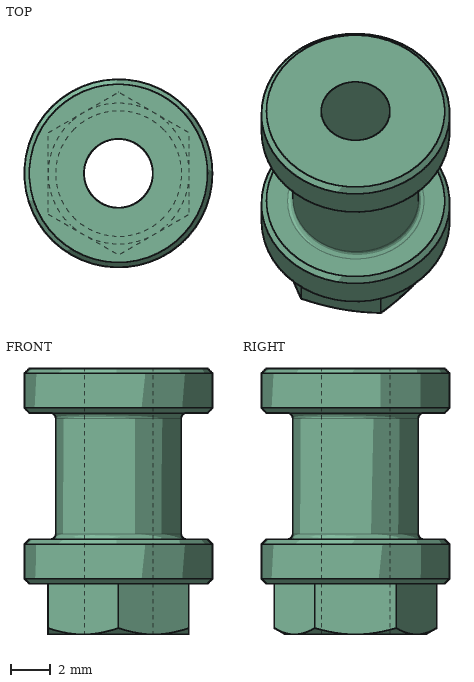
import cadquery as cq
import math

total_height = 13.46
flange_diameter = 9.53
flange_thickness = 2.26
flange_chamfer = 0.25
shaft_diameter = 6.37
shaft_fillet = 0.27
bore_diameter = 3.47
hex_across_flats = 7.13
hex_height = 2.56
hex_chamfer_angle = 30.0

hex_across_corners = hex_across_flats / math.cos(math.radians(30))
shaft_bottom = hex_height + flange_thickness
shaft_top = total_height - flange_thickness
shaft_length = shaft_top - shaft_bottom


def flange(bottom):
    """Disc with both rims chamfered."""
    disc = cq.Workplane("XY").workplane(offset=bottom).circle(flange_diameter / 2).extrude(flange_thickness)
    return disc.edges("%CIRCLE").chamfer(flange_chamfer)


def spool():
    """Two flanges joined by a shaft with filleted roots."""
    shaft = cq.Workplane("XY").workplane(offset=shaft_bottom).circle(shaft_diameter / 2).extrude(shaft_length)
    body = flange(hex_height).union(shaft).union(flange(shaft_top))
    roots = body.edges(cq.selectors.RadiusNthSelector(0))
    return roots.fillet(shaft_fillet)


def hex_head():
    """Hexagon with corners on Y, its lower corners trimmed by a cone tangent to the flats."""
    hexagon = (
        cq.Workplane("XY")
        .polygon(6, hex_across_corners)
        .extrude(hex_height)
        .rotate((0, 0, 0), (0, 0, 1), 90)
    )
    flat_radius = hex_across_flats / 2
    cone_top_radius = flat_radius + hex_height / math.tan(math.radians(hex_chamfer_angle))
    cone = cq.Workplane("XY").add(
        cq.Solid.makeCone(flat_radius, cone_top_radius, hex_height)
    )
    return hexagon.intersect(cone)


bore = cq.Workplane("XY").circle(bore_diameter / 2).extrude(total_height)

result = spool().union(hex_head()).cut(bore)